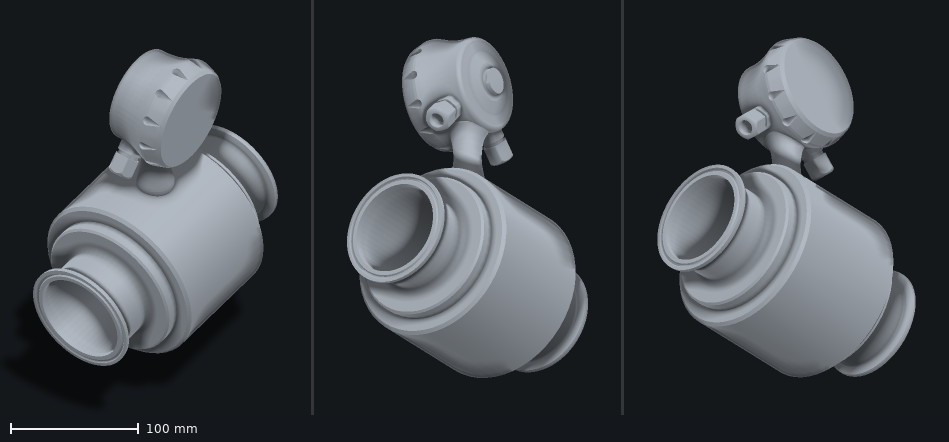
import cadquery as cq
import math

overall_height = 274.8

tube_half_length = 100.0
tube_radius = 76.5 / 2
bore_radius = 73.0 / 2
centre_wall = 5.5

flange_radius = 91.0 / 2
flange_rim = 2.0
flange_edge_width = 1.6
flange_edge_drop = 0.3
flange_cone_width = 1.6
flange_cone_radius = 40.0
flange_root_width = 2.0

groove_inner_radius = 39.8
groove_outer_radius = 43.0
groove_floor_inner_radius = 81.3 / 2
groove_floor_outer_radius = 83.8 / 2
groove_depth = 1.5

body_half_length = 50.0
body_radius = 70.0
body_chamfer = 2.5
hub_half_length = 61.5
hub_radius = 115.0 / 2
hub_chamfer = 1.6
hub_root_fillet = 5.0

stem_foot_radius = 30.0 / 2
stem_shoulder_radius = 14.5
stem_taper_radius = 13.5
stem_waist_radius = 22.3 / 2
stem_neck_radius = 23.5 / 2
stem_flare_mid_radius = 13.5
stem_flare_radius = 16.8
stem_foot_top = 74.0
stem_shoulder_top = 76.5
stem_taper_top = 81.3
stem_waist_bottom = 98.0
stem_waist_top = 102.2
stem_neck_top = 109.5
stem_flare_mid = 116.8
stem_flare_top = 122.8
stem_overlap = 8.2

cap_radius = flange_radius
cap_start = 15.0
cap_start_radius = 44.2
cap_land_start = 18.7
cap_land_end = 21.2
cap_bevel_start = 32.0
cap_bevel_start_radius = 42.3
cap_end = 34.5
cap_end_radius = 40.0
shell_front_radius = 38.2
shell_front = -13.5
shell_mid = 0.8
shell_mid_radius = 39.5
rim_start = -14.8
rim_mid = -17.5
rim_mid_radius = 37.0
cover_edge = -18.7
cover_edge_radius = 33.8
cover_step = -19.5
cover_step_radius = 25.8
cover_face = -22.3
cover_face_radius = 15.5

notch_count = 12
notch_radius = 3.5
notch_point = 32.5
notch_centre = 20.3

notch_half_width = math.sqrt(notch_radius**2 - (notch_centre - cap_land_start) ** 2)
cap_top = cap_radius - notch_half_width**2 / (2 * cap_radius)
head_height = overall_height - body_radius - cap_top

knob_radius = 21.0 / 2
knob_root_fillet = 1.5
knob_end = -27.2
knob_tip = -27.8
knob_flat_offset = 9.0
knob_flat_end = -24.0

gland_x = -2.0
gland_tilt = 45
gland_start = 33.0
gland_hex_end = 45.3
gland_nut_start = 48.5
gland_nut_end = 64.3
gland_hex_corners = 22.0
gland_hex_turned = 20.3
gland_nut_turned = 21.5
gland_collar_diameter = 16.8
gland_hole_diameter = 12.0
gland_hole_depth = 11.0


def mirrored_ends(solid):
    return solid.union(solid.mirror("XZ"))


def sensor_body():
    return (
        cq.Workplane("XZ")
        .circle(body_radius)
        .extrude(body_half_length, both=True)
        .edges()
        .chamfer(body_chamfer)
    )


def tube_end():
    """Hub, tube and flange for +Y, turned about Y."""
    cone_start = tube_half_length - flange_rim - flange_edge_width
    cone_end = cone_start - flange_cone_width
    root_end = cone_end - flange_root_width
    fillet_end = hub_half_length + hub_root_fillet
    fillet_bulge = hub_root_fillet * (1 - math.sqrt(0.5))
    return (
        cq.Workplane("XY")
        .lineTo(hub_radius, 0)
        .lineTo(hub_radius, hub_half_length - hub_chamfer)
        .lineTo(hub_radius - hub_chamfer, hub_half_length)
        .lineTo(tube_radius + hub_root_fillet, hub_half_length)
        .threePointArc(
            (tube_radius + fillet_bulge, hub_half_length + fillet_bulge),
            (tube_radius, fillet_end),
        )
        .lineTo(tube_radius, root_end)
        .tangentArcPoint((flange_cone_radius, cone_end), relative=False)
        .lineTo(flange_radius - flange_edge_drop, cone_start)
        .lineTo(flange_radius, tube_half_length - flange_rim)
        .lineTo(flange_radius, tube_half_length)
        .lineTo(0, tube_half_length)
        .close()
        .revolve(360, (0, 0, 0), (0, 1, 0))
    )


def gasket_groove():
    floor = tube_half_length - groove_depth
    return (
        cq.Workplane("XY")
        .moveTo(groove_inner_radius, tube_half_length)
        .lineTo(groove_floor_inner_radius, floor)
        .lineTo(groove_floor_outer_radius, floor)
        .lineTo(groove_outer_radius, tube_half_length)
        .close()
        .revolve(360, (0, 0, 0), (0, 1, 0))
    )


def bore():
    depth = tube_half_length - centre_wall / 2
    return cq.Workplane("XZ", origin=(0, tube_half_length, 0)).circle(bore_radius).extrude(depth)


def stem():
    """Waisted column turned about Z, flaring into the head."""
    return (
        cq.Workplane("XZ")
        .moveTo(0, body_radius - stem_overlap)
        .lineTo(stem_foot_radius, body_radius - stem_overlap)
        .lineTo(stem_foot_radius, stem_foot_top)
        .lineTo(stem_shoulder_radius, stem_shoulder_top)
        .lineTo(stem_taper_radius, stem_taper_top)
        .spline(
            [(stem_waist_radius, stem_waist_bottom)],
            tangents=[(stem_shoulder_radius - stem_foot_radius, 2.7), (0, 1)],
            includeCurrent=True,
        )
        .lineTo(stem_waist_radius, stem_waist_top)
        .lineTo(stem_neck_radius, stem_neck_top)
        .threePointArc((stem_flare_mid_radius, stem_flare_mid), (stem_flare_radius, stem_flare_top))
        .lineTo(stem_flare_radius, stem_flare_top + stem_overlap)
        .lineTo(0, stem_flare_top + stem_overlap)
        .close()
        .revolve(360, (0, 0, 0), (0, 1, 0))
    )


def head_blank():
    """Shell, cap, cover and knob turned about the head axis."""
    root = knob_radius + knob_root_fillet
    bulge = knob_root_fillet * (1 - math.sqrt(0.5))
    return (
        cq.Workplane("XZ", origin=(0, 0, head_height))
        .moveTo(knob_tip, 0)
        .lineTo(knob_end, knob_radius)
        .lineTo(cover_face - knob_root_fillet, knob_radius)
        .threePointArc((cover_face - bulge, knob_radius + bulge), (cover_face, root))
        .lineTo(cover_face, cover_face_radius)
        .lineTo(cover_step, cover_step_radius)
        .lineTo(cover_edge, cover_edge_radius)
        .threePointArc((rim_mid, rim_mid_radius), (rim_start, shell_front_radius))
        .lineTo(shell_front, shell_front_radius)
        .threePointArc((shell_mid, shell_mid_radius), (cap_start, cap_start_radius))
        .lineTo(cap_land_start, cap_radius)
        .lineTo(cap_land_end, cap_radius)
        .lineTo(cap_bevel_start, cap_bevel_start_radius)
        .lineTo(cap_end, cap_end_radius)
        .lineTo(cap_end, 0)
        .close()
        .revolve(360, (0, 0, 0), (1, 0, 0))
    )


def grip_notch():
    """Teardrop at the top of the cap: a ball with a tangent cone that fades out at the bevel."""
    centre = cq.Vector(notch_centre, 0, head_height + cap_radius)
    point = cq.Vector(notch_point, 0, head_height + cap_bevel_start_radius)
    axis = point - centre
    tangent_x = notch_radius**2 / axis.Length
    tangent_y = math.sqrt(notch_radius**2 - tangent_x**2)
    return (
        cq.Workplane(cq.Plane(origin=centre, xDir=axis, normal=(0, -1, 0)))
        .moveTo(-notch_radius, 0)
        .threePointArc((0, notch_radius), (tangent_x, tangent_y))
        .lineTo(axis.Length, 0)
        .close()
        .revolve(360, (0, 0, 0), (1, 0, 0))
    )


def knob_flats():
    """Two blocks that cut the parallel flats of the knob."""
    depth = knob_flat_end - knob_end
    width = knob_radius - knob_flat_offset
    cutter = cq.Workplane("XY").box(depth, width, 2 * knob_radius)
    middle = ((knob_end + knob_flat_end) / 2, (knob_radius + knob_flat_offset) / 2, head_height)
    return mirrored_ends(cutter.translate(middle))


def head():
    solid = head_blank().cut(knob_flats())
    notch = grip_notch()
    for index in range(notch_count):
        angle = index * 360 / notch_count
        solid = solid.cut(notch.rotate((0, 0, head_height), (1, 0, head_height), angle))
    return solid


def turned_hexagon(turned_diameter, start, end):
    """Hexagonal prism along Z with its corners, two of them on X, turned to a diameter."""
    plane = cq.Workplane("XY", origin=(0, 0, start))
    hexagon = plane.polygon(6, gland_hex_corners).extrude(end - start)
    return hexagon.intersect(plane.circle(turned_diameter / 2).extrude(end - start))


def gland_nut():
    """Cap nut along Z, its outer end rounded from the corners down to the hole."""
    nut = turned_hexagon(gland_nut_turned, gland_nut_start, gland_nut_end)
    outer_radius = gland_hex_corners / 2
    end_radius = outer_radius - gland_hole_diameter / 2
    envelope = (
        cq.Workplane("XY", origin=(0, 0, gland_nut_start))
        .circle(outer_radius)
        .extrude(gland_nut_end - gland_nut_start)
        .faces(">Z")
        .edges()
        .fillet(end_radius)
    )
    hole = (
        cq.Workplane("XY", origin=(0, 0, gland_nut_end))
        .circle(gland_hole_diameter / 2)
        .extrude(-gland_hole_depth)
    )
    return nut.intersect(envelope).cut(hole)


def gland():
    """Cable gland on the -Y side, pointing down and outwards from the head."""
    collar = (
        cq.Workplane("XY", origin=(0, 0, gland_hex_end))
        .circle(gland_collar_diameter / 2)
        .extrude(gland_nut_start - gland_hex_end)
    )
    solid = turned_hexagon(gland_hex_turned, gland_start, gland_hex_end).union(collar).union(gland_nut())
    tilted = solid.rotate((0, 0, 0), (1, 0, 0), 180 - gland_tilt)
    return tilted.translate((gland_x, 0, head_height))


meter = mirrored_ends(tube_end().cut(gasket_groove()).union(gland()))
meter = meter.union(sensor_body()).cut(mirrored_ends(bore()))
result = meter.union(stem()).union(head())